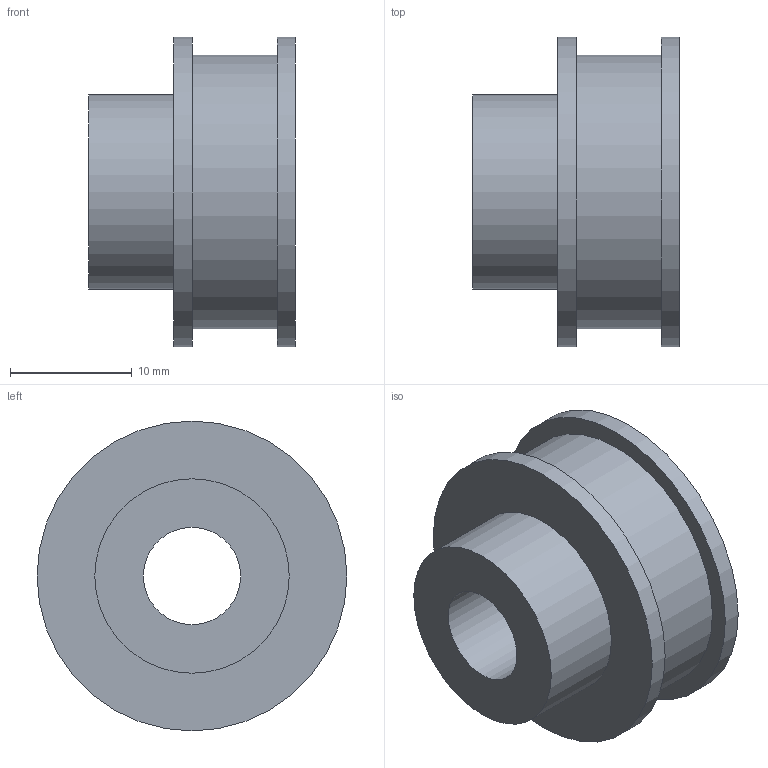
import cadquery as cq

hub_length = 7.0
flange_width = 1.5
belt_width = 7.0

bore_diameter = 8.0
hub_diameter = 16.0
belt_diameter = 22.5
flange_diameter = 25.5

inner_flange_start = hub_length
belt_start = inner_flange_start + flange_width
outer_flange_start = belt_start + belt_width
total_length = outer_flange_start + flange_width


def disc(start, length, diameter):
    """Solid cylinder on the X axis, running from start toward +X."""
    return cq.Workplane("YZ", origin=(start, 0, 0)).circle(diameter / 2).extrude(length)


hub = disc(0, hub_length, hub_diameter)
inner_flange = disc(inner_flange_start, flange_width, flange_diameter)
belt_seat = disc(belt_start, belt_width, belt_diameter)
outer_flange = disc(outer_flange_start, flange_width, flange_diameter)
pulley = hub.union(inner_flange).union(belt_seat).union(outer_flange)

bore = disc(0, total_length, bore_diameter)
result = pulley.cut(bore)